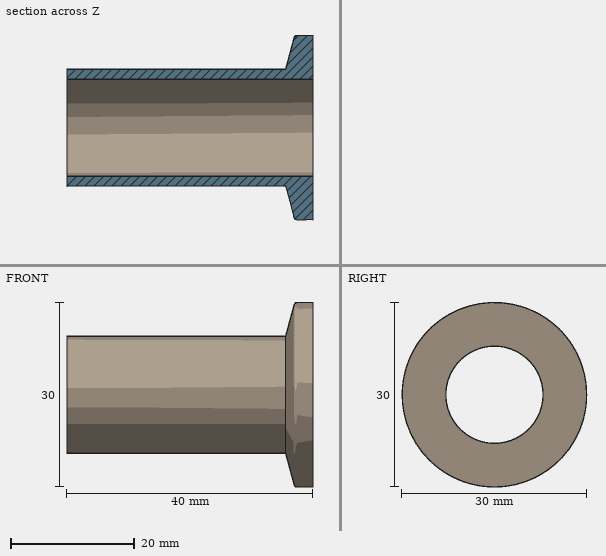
import cadquery as cq
import math

length = 40.0
flange_radius = 30.0 / 2
tube_radius = 19.05 / 2
bore_radius = 15.75 / 2
rim_width = 3.0
cone_angle = 15.0
rim_fillet = 0.5

x_open_end = -length / 2
x_flange_face = length / 2
x_rim_start = x_flange_face - rim_width
cone_depth = (flange_radius - tube_radius) * math.tan(math.radians(cone_angle))
x_cone_start = x_rim_start - cone_depth

profile = (
    cq.Workplane("XY")
    .moveTo(x_open_end, bore_radius)
    .lineTo(x_open_end, tube_radius)
    .lineTo(x_cone_start, tube_radius)
    .lineTo(x_rim_start, flange_radius)
    .lineTo(x_flange_face, flange_radius)
    .lineTo(x_flange_face, bore_radius)
    .close()
)
body = profile.revolve(360, (0, 0, 0), (1, 0, 0))

rim_edge = cq.selectors.BoxSelector(
    (x_rim_start - rim_fillet, -flange_radius * 2, -flange_radius * 2),
    (x_rim_start + rim_fillet, flange_radius * 2, flange_radius * 2),
)
result = body.edges("%CIRCLE").edges(rim_edge).fillet(rim_fillet)